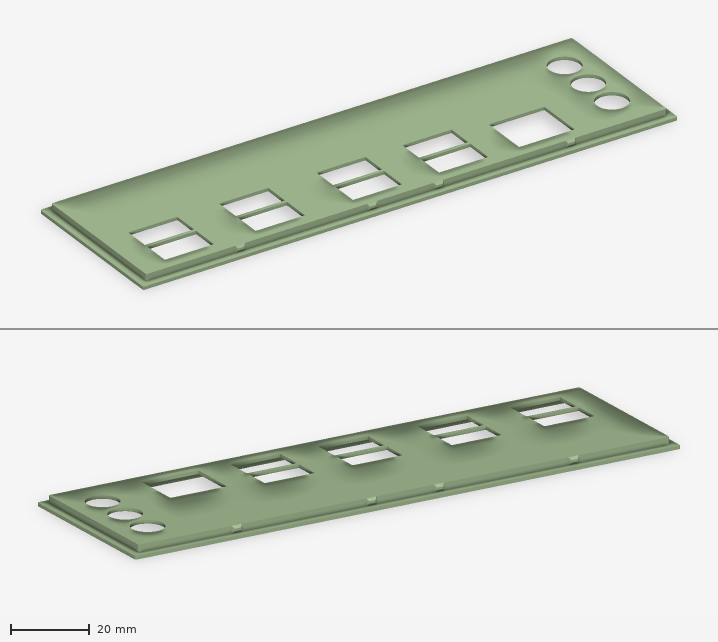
import cadquery as cq

flange_length = 162.0
flange_width = 48.0
sheet = 1.0
corner_radius = 0.5

side_ledge = 2.0
end_ledge = 2.1
tray_width = flange_width - 2 * side_ledge
tray_length = flange_length - 2 * end_ledge
tray_top = 3.0
tray_height = tray_top - sheet

jack_diameter = 9.0
jack_pitch = 11.0
jack_y = 69.5

window_right = 18.3
large_window_width = 14.1
large_window_length = 16.8
large_window_y = 45.0
port_width = 17.0
port_length = 14.9
port_centers_y = [19.8, -6.3, -35.8, -63.3]

bar_width = 1.0
bar_x = 9.5

bump_length = 2.9
bump_crest_length = 2.0
bump_reach = 0.5
bump_crest_height = 0.6
bump_pattern_y = -0.3
bump_offsets = [-50.0, -10.0, 10.0, 50.0]


def upright_box(width, length, bottom, height):
    """Centered box with its base at the given height."""
    return cq.Workplane("XY").workplane(offset=bottom).rect(width, length).extrude(height)


def window(width, length, center_y):
    """Cutter that ends at the shared right-hand window edge."""
    center_x = window_right - width / 2
    return upright_box(width, length, 0, tray_top).translate((center_x, center_y, 0))


def port_bar(center_y):
    """Bar along the full length of a port window, as thick as the sheet."""
    bar = upright_box(bar_width, port_length, tray_top - sheet, sheet)
    return bar.translate((bar_x, center_y, 0))


def snap_bump(side, center_y):
    """Tapered bump on one long side: +1 is the +X side, -1 is the -X side."""
    facing = cq.Plane(
        origin=(side * tray_width / 2, center_y, sheet + tray_height / 2),
        xDir=(0, 1, 0),
        normal=(side, 0, 0),
    )
    return (
        cq.Workplane(facing)
        .rect(bump_length, tray_height)
        .workplane(offset=bump_reach)
        .rect(bump_crest_length, bump_crest_height)
        .loft(ruled=True)
    )


flange = upright_box(flange_width, flange_length, 0, sheet).edges("|Z").fillet(corner_radius)
tray = upright_box(tray_width, tray_length, 0, tray_top).edges("|Z").fillet(corner_radius)
hollow = upright_box(tray_width - 2 * sheet, tray_length - 2 * sheet, 0, tray_top - sheet)
result = flange.union(tray).cut(hollow)

jack_centers = [(step * jack_pitch, jack_y) for step in (-1, 0, 1)]
jacks = cq.Workplane("XY").pushPoints(jack_centers).circle(jack_diameter / 2).extrude(tray_top)
result = result.cut(jacks)

result = result.cut(window(large_window_width, large_window_length, large_window_y))
for port_y in port_centers_y:
    result = result.cut(window(port_width, port_length, port_y)).union(port_bar(port_y))

for bump_offset in bump_offsets:
    for bump_side in (-1, 1):
        result = result.union(snap_bump(bump_side, bump_pattern_y + bump_offset))